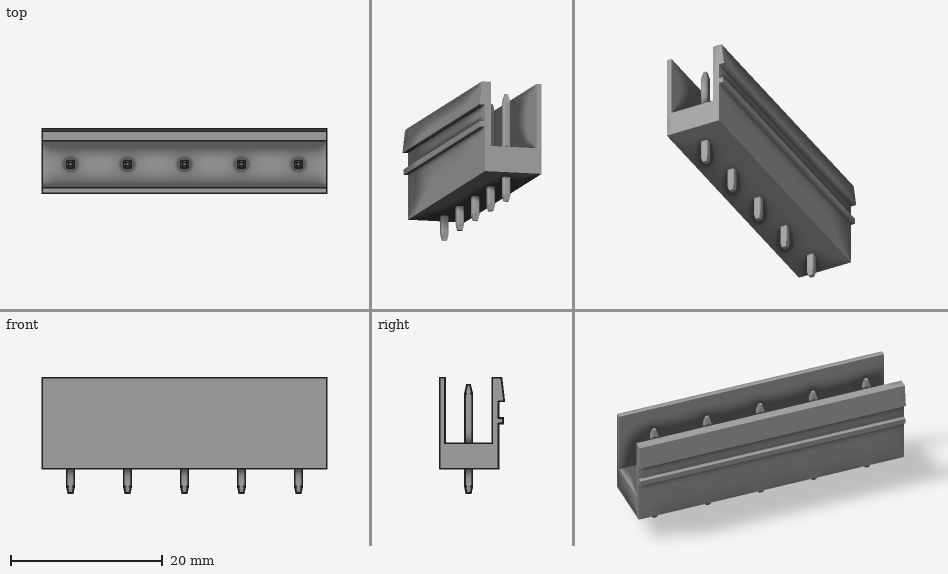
import cadquery as cq

pin_count = 5
pin_pitch = 7.5
housing_length = pin_count * pin_pitch
housing_width = 7.75
housing_height = 12.0
front_wall_thickness = 0.7
back_wall_thickness = 0.85
floor_thickness = 3.4

latch_top_depth = 0.38
latch_ledge_depth = 0.75
latch_ledge_z = 8.9

rib_depth = 0.6
rib_bottom_z = 5.95
rib_height = 0.75

pin_width = 1.0
pin_edge_radius = 0.25
pin_y = 3.8
pin_bottom_z = -3.2
pin_top_z = 11.1
top_taper_length = 1.25
top_tip_width = 0.4
bottom_taper_length = 0.95
bottom_tip_width = 0.6


def pin_shank():
    """Full-length square bar with its four long edges rounded, centred on the Z axis."""
    return (
        cq.Workplane("XY", origin=(0, 0, pin_bottom_z))
        .rect(pin_width, pin_width)
        .extrude(pin_top_z - pin_bottom_z)
        .edges("|Z")
        .fillet(pin_edge_radius)
    )


def tapered_profile():
    """Side outline of a pin, narrowing to a flat tip at each end."""
    half_width = pin_width / 2
    half_top_tip = top_tip_width / 2
    half_bottom_tip = bottom_tip_width / 2
    top_taper_z = pin_top_z - top_taper_length
    bottom_taper_z = pin_bottom_z + bottom_taper_length
    return [
        (-half_bottom_tip, pin_bottom_z),
        (half_bottom_tip, pin_bottom_z),
        (half_width, bottom_taper_z),
        (half_width, top_taper_z),
        (half_top_tip, pin_top_z),
        (-half_top_tip, pin_top_z),
        (-half_width, top_taper_z),
        (-half_width, bottom_taper_z),
    ]


def make_pin(x):
    """One pin: the rounded bar trimmed to the tapered outline from both sides."""
    pin = pin_shank()
    for plane in ("XZ", "YZ"):
        trim = cq.Workplane(plane).polyline(tapered_profile()).close().extrude(pin_width, both=True)
        pin = pin.intersect(trim)
    return pin.translate((x, pin_y, 0))


def x_extrusion(points):
    """Extrude a (Y, Z) outline over the whole housing length, centred on X = 0."""
    return cq.Workplane("YZ").polyline(points).close().extrude(housing_length / 2, both=True)


def make_housing():
    """Trough with latch and rib, pierced by a matching hole for each pin."""
    inner_back = housing_width - back_wall_thickness
    rib_top_z = rib_bottom_z + rib_height
    housing = x_extrusion([
        (0, 0),
        (housing_width, 0),
        (housing_width, rib_bottom_z),
        (housing_width + rib_depth, rib_bottom_z),
        (housing_width + rib_depth, rib_top_z),
        (housing_width, rib_top_z),
        (housing_width, latch_ledge_z),
        (housing_width + latch_ledge_depth, latch_ledge_z),
        (housing_width + latch_top_depth, housing_height),
        (inner_back, housing_height),
        (inner_back, floor_thickness),
        (front_wall_thickness, floor_thickness),
        (front_wall_thickness, housing_height),
        (0, housing_height),
    ])
    for x in pin_positions:
        housing = housing.cut(pin_shank().translate((x, pin_y, 0)))
    return housing


first_pin_x = -(pin_count - 1) * pin_pitch / 2
pin_positions = [first_pin_x + i * pin_pitch for i in range(pin_count)]

housing = make_housing()
pins = [make_pin(x) for x in pin_positions]

result = cq.Compound.makeCompound([housing.val(), *[pin.val() for pin in pins]])